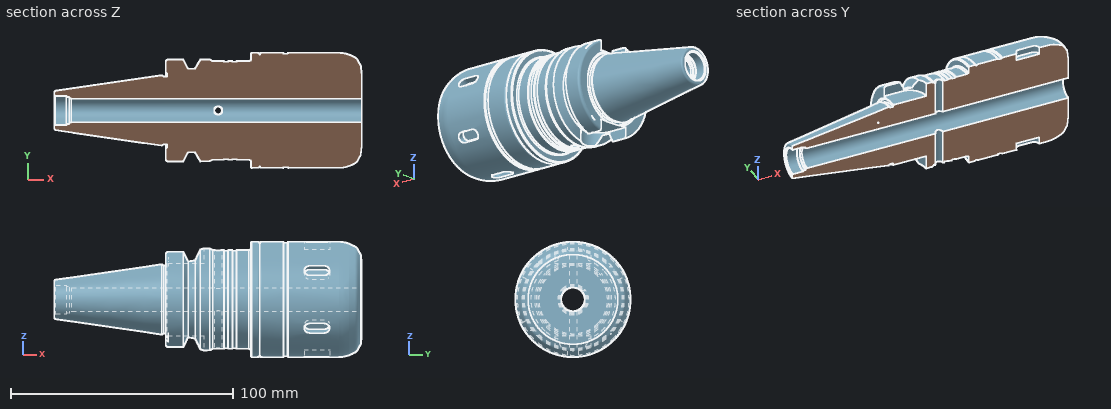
import cadquery as cq
import math


total_length = 138.4

taper_rate = 7 / 24
taper_length = 48.5
taper_end_radius = 8.9
taper_big_radius = taper_end_radius + taper_rate * taper_length / 2
taper_end_fillet = 1.0

relief_start = 49.3
relief_radius = 15.4

flange_start = 50.1
flange_radius = 23.0
flange_fillet = 1.2

face_recess_radius = 17.3
face_recess_floor_radius = 16.6
face_recess_depth = 0.5

groove_rim_start = 58.1
groove_floor_start = 60.2
groove_floor_end = 63.4
groove_rim_end = 65.7
groove_floor_radius = 19.0
rear_flange_end = 70.0

body_start = 71.3
body_radius = 22.3
seal_groove_centers = (77.4, 81.1)
seal_groove_width = 2.1
seal_groove_depth = 0.3
seal_groove_wall = 0.3
body_flare_start = 87.6
body_flare_radius = 22.7

nut_start = 88.5
nut_radius = 26.0
nut_chamfer = 0.4

joint_x = 92.5
joint_fillet = 1.0

nut_groove_start = 103.0
nut_groove_end = 105.3
nut_groove_depth = 0.4
nut_groove_wall = 0.4

nose_start = 128.0
nose_arc_ends = ((132.6, 25.2), (135.5, 23.8), (136.7, 22.4), (138.0, 20.2))
end_face_radius = 16.6

bore_radius = 10.5 / 2
thread_radius = 12.0 / 2
counterbore_radius = 12.9 / 2
mouth_radius = 6.9
mouth_depth = 0.4
counterbore_depth = 5.5
thread_stop_start = 6.8
thread_stop_radius = 11.2 / 2
thread_stop_end = 7.6

keyway_width = 16.2
keyway_floor = 16.3
keyway_end = 67.3

cross_hole_x = 73.8
cross_hole_diameter = 3.5
cross_hole_mouth_diameter = 4.0

slot_count = 6
slot_x = 118.2
slot_length = 11.3
slot_width = 5.0
slot_floor_radius = 22.5


def groove(profile, start, end, radius, depth, wall):
    """Add a turned groove with sloping walls to a profile that runs along +X."""
    return (
        profile.lineTo(start, radius)
        .lineTo(start + wall, radius - depth)
        .lineTo(end - wall, radius - depth)
        .lineTo(end, radius)
    )


def make_turned_body():
    fillet_slope = math.atan(taper_rate / 2)
    fillet_face_radius = taper_end_radius - taper_end_fillet * (1 - math.sin(fillet_slope))
    fillet_end_radius = taper_end_radius + taper_end_fillet * taper_rate / 2
    profile = (
        cq.Workplane("XY")
        .lineTo(0, fillet_face_radius)
        .tangentArcPoint((taper_end_fillet, fillet_end_radius), relative=False)
        .lineTo(taper_length, taper_big_radius)
        .lineTo(relief_start, relief_radius)
        .lineTo(flange_start + face_recess_depth, relief_radius)
        .lineTo(flange_start + face_recess_depth, face_recess_floor_radius)
        .lineTo(flange_start, face_recess_radius)
        .lineTo(flange_start, flange_radius - flange_fillet)
        .radiusArc((flange_start + flange_fillet, flange_radius), flange_fillet)
        .lineTo(groove_rim_start, flange_radius)
        .lineTo(groove_floor_start, groove_floor_radius)
        .lineTo(groove_floor_end, groove_floor_radius)
        .lineTo(groove_rim_end, flange_radius)
        .lineTo(rear_flange_end, flange_radius)
        .lineTo(body_start, body_radius)
    )
    for center in seal_groove_centers:
        start = center - seal_groove_width / 2
        end = center + seal_groove_width / 2
        profile = groove(profile, start, end, body_radius, seal_groove_depth, seal_groove_wall)
    profile = (
        profile.lineTo(body_flare_start, body_radius)
        .lineTo(nut_start, body_flare_radius)
        .lineTo(nut_start, nut_radius - nut_chamfer)
        .lineTo(nut_start + nut_chamfer, nut_radius)
        .lineTo(joint_x - joint_fillet, nut_radius)
        .radiusArc((joint_x, nut_radius - joint_fillet), joint_fillet)
        .radiusArc((joint_x + joint_fillet, nut_radius), joint_fillet)
    )
    profile = groove(
        profile, nut_groove_start, nut_groove_end, nut_radius, nut_groove_depth, nut_groove_wall
    )
    profile = profile.lineTo(nose_start, nut_radius)
    for arc_end in nose_arc_ends:
        profile = profile.tangentArcPoint(arc_end, relative=False)
    profile = (
        profile.lineTo(total_length, end_face_radius)
        .lineTo(total_length, 0)
        .close()
    )
    return profile.revolve(360, (0, 0, 0), (1, 0, 0))


def make_bore():
    return (
        cq.Workplane("XY")
        .lineTo(0, mouth_radius)
        .lineTo(mouth_depth, counterbore_radius)
        .lineTo(counterbore_depth, counterbore_radius)
        .lineTo(counterbore_depth, thread_radius)
        .lineTo(thread_stop_start, thread_radius)
        .lineTo(thread_stop_start, thread_stop_radius)
        .lineTo(thread_stop_end, bore_radius)
        .lineTo(total_length, bore_radius)
        .lineTo(total_length, 0)
        .close()
        .revolve(360, (0, 0, 0), (1, 0, 0))
    )


def make_keyway():
    """Round-ended keyway cutter above the +Z side of the flange."""
    end_radius = keyway_width / 2
    straight_end = keyway_end - end_radius
    return (
        cq.Workplane("XY", origin=(0, 0, keyway_floor))
        .moveTo(flange_start, -end_radius)
        .lineTo(straight_end, -end_radius)
        .threePointArc((keyway_end, 0), (straight_end, end_radius))
        .lineTo(flange_start, end_radius)
        .close()
        .extrude(flange_radius)
    )


def make_cross_hole():
    countersink_depth = (cross_hole_mouth_diameter - cross_hole_diameter) / 2
    countersink_floor = body_radius - countersink_depth
    half_hole = (
        cq.Workplane("XZ", origin=(cross_hole_x, 0, 0))
        .lineTo(cross_hole_diameter / 2, 0)
        .lineTo(cross_hole_diameter / 2, countersink_floor)
        .lineTo(cross_hole_mouth_diameter / 2, body_radius)
        .lineTo(0, body_radius)
        .close()
        .revolve(360, (0, 0, 0), (0, 1, 0))
    )
    return half_hole.union(half_hole.mirror("XY"))


def make_wrench_slots():
    slot = (
        cq.Workplane("XY", origin=(slot_x, 0, slot_floor_radius))
        .slot2D(slot_length, slot_width)
        .extrude(nut_radius)
    )
    slots = slot
    for index in range(1, slot_count):
        angle = index * 360 / slot_count
        slots = slots.union(slot.rotate((0, 0, 0), (1, 0, 0), angle))
    return slots


keyway = make_keyway()
result = (
    make_turned_body()
    .cut(make_bore())
    .cut(keyway)
    .cut(keyway.mirror("XY"))
    .cut(make_cross_hole())
    .cut(make_wrench_slots())
)